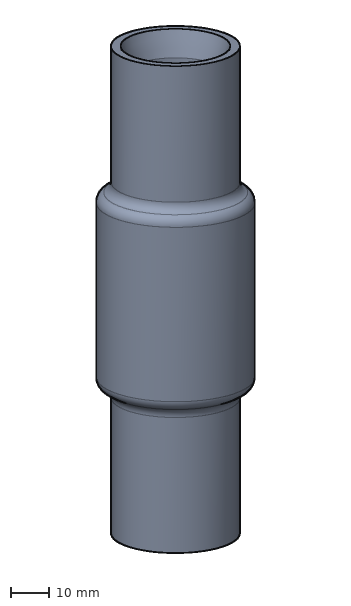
import cadquery as cq
import math

length = 134.0
body_radius = 20.8
pipe_radius = 16.9
pipe_length = 37.4
shoulder_height = 5.6
bore_radius = 12.3
mouth_radius = 14.3
mouth_depth = 7.2

half_length = length / 2
shoulder_top = half_length - pipe_length
shoulder_bottom = shoulder_top - shoulder_height
shoulder_middle = (shoulder_top + shoulder_bottom) / 2
middle_radius = (body_radius + pipe_radius) / 2

arc_width = (body_radius - pipe_radius) / 2
arc_height = shoulder_height / 2
arc_radius = (arc_width**2 + arc_height**2) / (2 * arc_width)
half_sweep = math.asin(arc_height / arc_radius) / 2
arc_mid_offset = arc_radius * (1 - math.cos(half_sweep))
arc_mid_height = arc_radius * math.sin(half_sweep)


def arc_middle(radius_sign, start_radius, start_z, z_sign):
    """Middle point of an arc that leaves a cylinder tangentially."""
    return (start_radius + radius_sign * arc_mid_offset, start_z + z_sign * arc_mid_height)


def make_wall_outline():
    """Closed half section of the wall, running up the outside and down the bore."""
    return (
        cq.Workplane("XZ")
        .moveTo(bore_radius, mouth_depth - half_length)
        .lineTo(mouth_radius, -half_length)
        .lineTo(pipe_radius, -half_length)
        .lineTo(pipe_radius, -shoulder_top)
        .threePointArc(arc_middle(1, pipe_radius, -shoulder_top, 1), (middle_radius, -shoulder_middle))
        .threePointArc(arc_middle(-1, body_radius, -shoulder_bottom, -1), (body_radius, -shoulder_bottom))
        .lineTo(body_radius, shoulder_bottom)
        .threePointArc(arc_middle(-1, body_radius, shoulder_bottom, 1), (middle_radius, shoulder_middle))
        .threePointArc(arc_middle(1, pipe_radius, shoulder_top, -1), (pipe_radius, shoulder_top))
        .lineTo(pipe_radius, half_length)
        .lineTo(mouth_radius, half_length)
        .lineTo(bore_radius, half_length - mouth_depth)
        .close()
    )


result = make_wall_outline().revolve(360, (0, 0, 0), (0, 1, 0))